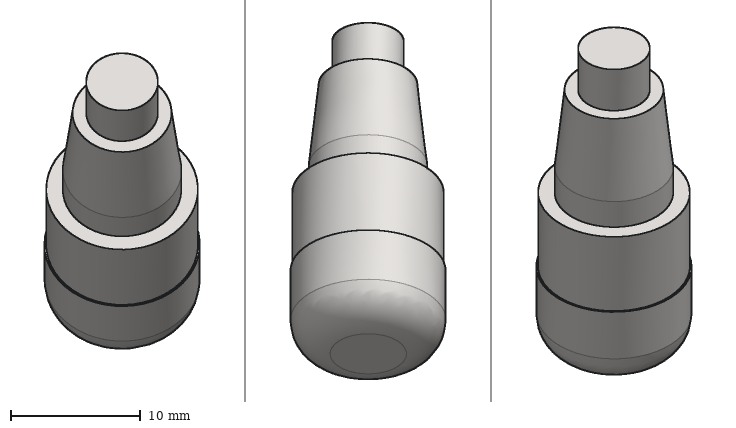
import cadquery as cq

total_height = 28.3

cap_radius = 6.0
cap_height = 7.5
cap_round = 3.05

barrel_radius = 5.85
barrel_top = 14.57
collar_radius = 4.58
collar_top = 17.05
taper_top_radius = 3.82
taper_top = 24.37
stem_radius = 2.77


def make_cap():
    """Cylindrical cap with a rounded lower rim."""
    cap = cq.Workplane("XY").circle(cap_radius).extrude(cap_height)
    return cap.faces("<Z").edges().fillet(cap_round)


def make_stepped_body():
    """Barrel, collar, taper and stem turned as one piece, standing on the cap."""
    profile = (
        cq.Workplane("XZ")
        .moveTo(0, cap_height)
        .lineTo(barrel_radius, cap_height)
        .lineTo(barrel_radius, barrel_top)
        .lineTo(collar_radius, barrel_top)
        .lineTo(collar_radius, collar_top)
        .lineTo(taper_top_radius, taper_top)
        .lineTo(stem_radius, taper_top)
        .lineTo(stem_radius, total_height)
        .lineTo(0, total_height)
        .close()
    )
    return profile.revolve(360, (0, 0, 0), (0, 1, 0))


cap = make_cap()
stepped_body = make_stepped_body()

result = cq.Compound.makeCompound([cap.val(), stepped_body.val()])